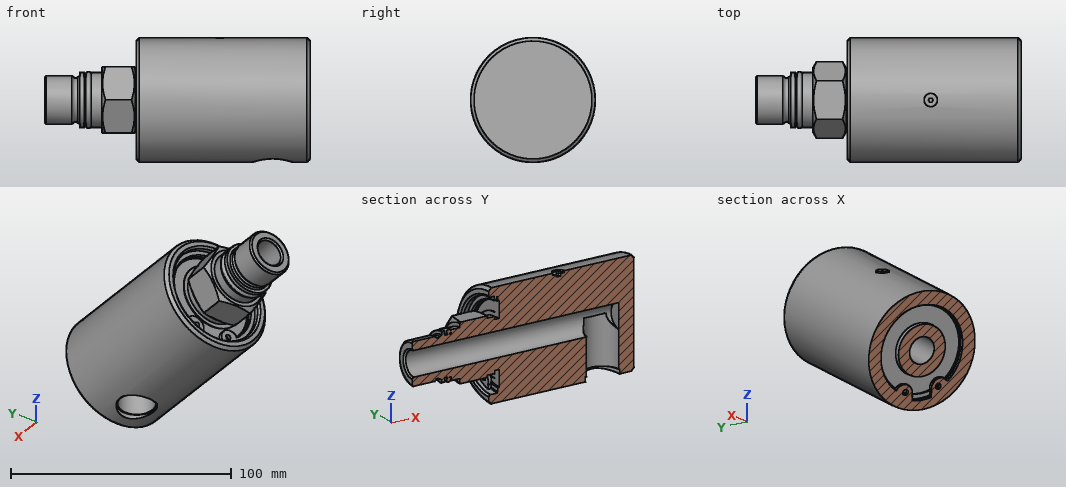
import cadquery as cq
import math

total_length = 120.4

body_diameter = 56.6
body_start = 41.4
body_chamfer = 1.6
body_radius = body_diameter / 2

recess_diameter = 47.1
recess_chamfer = 1.0
ring_depth = 3.1
ring_thickness = 1.7
ring_inner_diameter = 43.0
ledge_outer_diameter = 46.1
ledge_depth = 0.1
pocket_diameter = 41.9
pocket_depth = 0.8
recess_radius = recess_diameter / 2
ring_front = body_start + ring_depth
ring_back = ring_front + ring_thickness
ledge_floor = ring_back + ledge_depth
pocket_floor = ledge_floor + pocket_depth

lug_radius = 4.7
lug_offset_y = 9.6
lug_offset_z = -19.3
lug_hole_diameter = 2.5
lug_hole_offset_y = 8.7
lug_hole_offset_z = -18.5

thread_diameter = 22.0
thread_tip_diameter = 20.5
thread_end = 12.4
tip_chamfer = 0.8
neck_start = 13.1
neck_end = 14.9
neck_edge_diameter = 20.8
neck_diameter = 19.9
collar_start = 16.0
collar_cone_diameter = 21.9
shaft_diameter = 25.0
groove_start = 17.9
groove_diameter = 21.0
o_ring_thickness = 2.5
o_ring_diameter = 25.8
groove_width = 3.2
groove_end = groove_start + groove_width
journal_diameter = 27.9
slinger_diameter = 32.1
slinger_front = 44.5
slinger_thickness = 0.4

hex_start = 25.9
hex_length = 15.2
hex_across_flats = 30.1
hex_face_diameter = 28.8
hex_chamfer_length = 1.7
hex_end = hex_start + hex_length

bore_diameter = 12.8
bore_chamfer = 0.8
port_diameter = 17.5
port_mouth_diameter = 18.5
port_position = 103.3
port_mouth_depth = 2.4
bore_end = port_position + port_diameter / 2

screw_position = 79.3
screw_hole_diameter = 6.0
screw_depth = 1.0
socket_across_flats = 1.8
socket_depth = 1.2


def cylinder_x(start, end, diameter):
    return cq.Workplane("YZ").workplane(offset=start).circle(diameter / 2).extrude(end - start)


def mouth_cone(start, hole_diameter, chamfer):
    hole_radius = hole_diameter / 2
    return (
        cq.Workplane("XY")
        .moveTo(start, 0)
        .lineTo(start, hole_radius + chamfer)
        .lineTo(start + chamfer, hole_radius)
        .lineTo(start + chamfer, 0)
        .close()
        .revolve(360, (0, 0, 0), (1, 0, 0))
    )


def make_body():
    body = cylinder_x(body_start, total_length, body_diameter).faces("<X or >X").chamfer(body_chamfer)
    recess = cylinder_x(body_start, ring_back, recess_diameter)
    ledge = cylinder_x(ring_back, ledge_floor, ledge_outer_diameter)
    pocket = cylinder_x(ledge_floor, pocket_floor, pocket_diameter)
    mouth = mouth_cone(body_start, recess_diameter, recess_chamfer)
    return body.cut(recess).cut(mouth).cut(ledge).cut(pocket)


def make_retaining_ring():
    front = cq.Workplane("YZ").workplane(offset=ring_front)
    ring = front.circle(recess_radius).circle(ring_inner_diameter / 2).extrude(ring_thickness)
    lug_places = [(-lug_offset_y, lug_offset_z), (lug_offset_y, lug_offset_z)]
    hole_places = [(-lug_hole_offset_y, lug_hole_offset_z), (lug_hole_offset_y, lug_hole_offset_z)]
    lugs = front.pushPoints(lug_places).circle(lug_radius).extrude(ring_thickness)
    gap_width = 2 * (lug_offset_y - lug_radius)
    gap = front.center(0, -recess_radius).rect(gap_width, recess_radius).extrude(ring_thickness)
    holes = front.pushPoints(hole_places).circle(lug_hole_diameter / 2).extrude(ring_thickness)
    lugs = lugs.intersect(front.circle(recess_radius).extrude(ring_thickness))
    return ring.union(lugs).cut(gap).cut(holes)


def make_shaft():
    shaft_radius = shaft_diameter / 2
    outline = (
        cq.Workplane("XY")
        .lineTo(0, thread_tip_diameter / 2)
        .lineTo(tip_chamfer, thread_diameter / 2)
        .lineTo(thread_end, thread_diameter / 2)
        .lineTo(neck_start, neck_edge_diameter / 2)
        .threePointArc(
            ((neck_start + neck_end) / 2, neck_diameter / 2),
            (neck_end, neck_edge_diameter / 2),
        )
        .lineTo(collar_start, collar_cone_diameter / 2)
        .lineTo(collar_start, shaft_radius)
        .lineTo(groove_start, shaft_radius)
        .lineTo(groove_start, groove_diameter / 2)
        .lineTo(groove_end, groove_diameter / 2)
        .lineTo(groove_end, shaft_radius)
        .lineTo(pocket_floor, shaft_radius)
        .lineTo(pocket_floor, 0)
        .close()
    )
    shaft = outline.revolve(360, (0, 0, 0), (1, 0, 0))
    section_radius = o_ring_thickness / 2
    o_ring = (
        cq.Workplane("XY")
        .moveTo(groove_end - section_radius, o_ring_diameter / 2 - section_radius)
        .circle(section_radius)
        .revolve(360, (0, 0, 0), (1, 0, 0))
    )
    journal = cylinder_x(hex_end, slinger_front, journal_diameter)
    slinger = cylinder_x(slinger_front, slinger_front + slinger_thickness, slinger_diameter)
    return shaft.union(o_ring).union(journal).union(slinger)


def make_hexagon():
    corner_diameter = hex_across_flats / math.cos(math.pi / 6)
    prism = cq.Workplane("YZ").workplane(offset=hex_start).polygon(6, corner_diameter).extrude(hex_length)
    envelope = (
        cq.Workplane("XY")
        .moveTo(hex_start, 0)
        .lineTo(hex_start, hex_face_diameter / 2)
        .lineTo(hex_start + hex_chamfer_length, corner_diameter / 2)
        .lineTo(hex_end - hex_chamfer_length, corner_diameter / 2)
        .lineTo(hex_end, hex_face_diameter / 2)
        .lineTo(hex_end, 0)
        .close()
        .revolve(360, (0, 0, 0), (1, 0, 0))
    )
    return prism.intersect(envelope)


def make_bore_and_port():
    bore = cylinder_x(0, bore_end, bore_diameter)
    bore_mouth = mouth_cone(0, bore_diameter, bore_chamfer)
    bottom = cq.Workplane("XY", origin=(port_position, 0, -body_radius))
    port = bottom.circle(port_diameter / 2).extrude(body_radius)
    port_mouth = bottom.circle(port_mouth_diameter / 2).extrude(port_mouth_depth)
    return bore.union(bore_mouth).union(port).union(port_mouth)


def make_screw_hole():
    top = cq.Workplane("XY", origin=(screw_position, 0, body_radius))
    hole = top.circle(screw_hole_diameter / 2).extrude(-screw_depth)
    socket_corners = socket_across_flats / math.cos(math.pi / 6)
    socket = top.polygon(6, socket_corners).extrude(-screw_depth - socket_depth)
    return hole.union(socket)


result = (
    make_body()
    .union(make_retaining_ring())
    .union(make_shaft())
    .union(make_hexagon())
    .cut(make_bore_and_port())
    .cut(make_screw_hole())
)